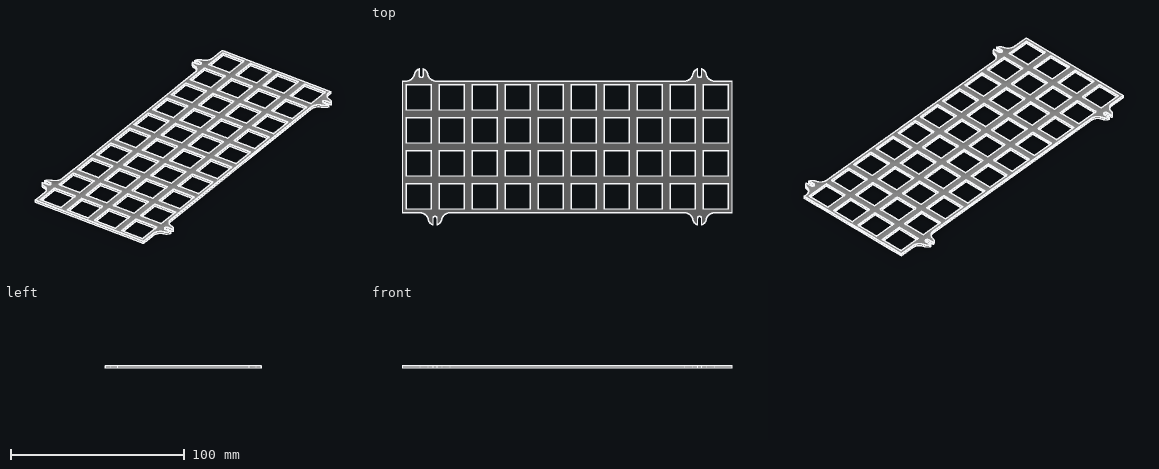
import cadquery as cq
import math

cell = 19.0
columns = 10
rows = 4
thickness = 1.5
opening = 14.3
edge_break = 0.23

ear_reach = 7.0
ear_radius = 4.0
root_radius = 5.0
slot_width = 2.1
slot_depth = 5.0
right_ear_x = 76.4
lower_left_ear_x = -right_ear_x
upper_left_ear_x = -84.4

plate_length = columns * cell
plate_width = rows * cell
rim = (cell - opening) / 2
overlap = rim / 2


def arc_point(centre_x, centre_y, radius, angle):
    """Point on a circle at the given angle from +X."""
    return (centre_x + radius * math.cos(angle), centre_y + radius * math.sin(angle))


def mirrored(point):
    """Same point on the other side of the ear's centre line."""
    return (-point[0], point[1])


def make_ear():
    """Ear pointing along +Y, with the plate edge on y = 0 and the slot along x = 0."""
    slot_half = slot_width / 2
    slot_end_y = ear_reach - slot_depth + slot_half
    tip = (slot_half, ear_reach)
    head_y = ear_reach - math.sqrt(ear_radius**2 - slot_half**2)

    root_x = math.sqrt((ear_radius + root_radius) ** 2 - (root_radius - head_y) ** 2)
    touch_angle = math.atan2(root_radius - head_y, root_x)
    tip_angle = math.atan2(ear_reach - head_y, slot_half)
    touch = arc_point(0, head_y, ear_radius, touch_angle)
    head_middle = arc_point(0, head_y, ear_radius, (touch_angle + tip_angle) / 2)
    flare_middle_angle = (touch_angle + math.pi + 1.5 * math.pi) / 2
    flare_middle = arc_point(root_x, root_radius, root_radius, flare_middle_angle)

    return (
        cq.Workplane("XY")
        .moveTo(-root_x, -overlap)
        .lineTo(-root_x, 0)
        .threePointArc(mirrored(flare_middle), mirrored(touch))
        .threePointArc(mirrored(head_middle), mirrored(tip))
        .lineTo(-slot_half, slot_end_y)
        .threePointArc((0, slot_end_y - slot_half), (slot_half, slot_end_y))
        .lineTo(*tip)
        .threePointArc(head_middle, touch)
        .threePointArc(flare_middle, (root_x, 0))
        .lineTo(root_x, -overlap)
        .close()
        .extrude(thickness)
    )


def make_grid():
    """Flat plate centred on the Z axis, pierced by one square opening per cell."""
    plate = cq.Workplane("XY").rect(plate_length, plate_width).extrude(thickness)
    openings = (
        cq.Workplane("XY")
        .rarray(cell, cell, columns, rows)
        .rect(opening, opening)
        .extrude(thickness)
    )
    return plate.cut(openings)


upper_ear = make_ear()
lower_ear = upper_ear.rotate((0, 0, 0), (0, 0, 1), 180)

body = make_grid()
for ear_x in (upper_left_ear_x, right_ear_x):
    body = body.union(upper_ear.translate((ear_x, plate_width / 2, 0)))
for ear_x in (lower_left_ear_x, right_ear_x):
    body = body.union(lower_ear.translate((ear_x, -plate_width / 2, 0)))

result = body.faces(">Z").edges().chamfer(edge_break)